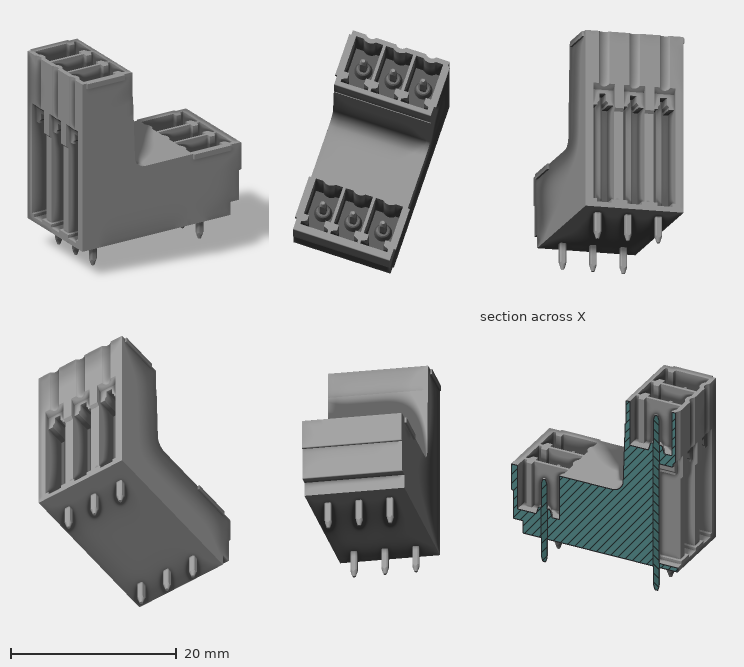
import cadquery as cq
import math


POLES = 3
PITCH = 3.81
ROW_SPACING = 15.24
POLE_XS = [(i - (POLES - 1) / 2) * PITCH for i in range(POLES)]

WIDTH = 12.3
FRONT_Y = -2.96
LENGTH = 22.7
BACK_Y = FRONT_Y + LENGTH
TIER_RISE = 12.7
LOWER_TOP = 9.2
UPPER_TOP = LOWER_TOP + TIER_RISE
EDGE_BREAK = 0.12

TOWER_DEPTH = 7.14
LEDGE_Z = 18.66
LEDGE_DEPTH = 0.08
DRAFT_ANGLE = 2.0
TIER_FILLET = 1.45

BACK_LIP_BOTTOM = 5.6
BACK_LIP_STEP = 0.3
FOOT_TOP = 1.7
FOOT_STEP = 1.27

SIDE_RIB_THICKNESS = 0.26
SIDE_RIB_HEIGHT = 0.66
SIDE_RIB_FRONT = -2.38
SIDE_RIB_BACK = 2.95

RECEPTACLE_WIDTH = 3.44
RECEPTACLE_DEPTH = 6.0
RECEPTACLE_FRONT = -2.39
RECEPTACLE_BACK = 3.57
KEY_GAP = 2.12
KEY_FRONT = 2.22
KEY_BACK = 2.92
KEY_ROOT_BACK = 3.22
BULGE_WIDTH = 1.55
BULGE_HEIGHT = 0.32

COLLAR_BASE_RADIUS = 1.1
COLLAR_SHOULDER_RADIUS = 0.84
COLLAR_TOP_RADIUS = 0.68
COLLAR_SHOULDER_HEIGHT = 0.9
COLLAR_HEIGHT = COLLAR_SHOULDER_HEIGHT + COLLAR_SHOULDER_RADIUS - COLLAR_TOP_RADIUS

SLOT_WIDTH = 2.67
SLOT_FLOOR = 1.04
SLOT_CEILING = 15.41
SLOT_DEPTH = 3.4
SLOT_BACK_Y = FRONT_Y + SLOT_DEPTH
LINTEL_SETBACK = 0.65
LINTEL_BOTTOM = 12.87
NOTCH_WIDTH = 0.84
NOTCH_TOP = 14.29
NOTCH_MOUTH_WIDTH = 1.36
NOTCH_MOUTH_TOP = 13.17
CHANNEL_WIDTH = 1.84
CHANNEL_FLOOR = 0.63
RIB_SETBACK = 0.36
RIB_TOP = 12.47
GROOVE_WIDTH = 1.28
GROOVE_SINK = 0.32

PIN_WIDTH = 0.8
PIN_CHAMFER = 0.13
PIN_BOTTOM = -3.2
PIN_TOP_BELOW_TIER = 1.0
TIP_RADIUS = 0.2
TIP_TAPER = 1 / 3
PIN_CORNER_RADIUS = math.hypot(PIN_WIDTH / 2, PIN_WIDTH / 2 - PIN_CHAMFER)
TIP_LENGTH = (PIN_CORNER_RADIUS - TIP_RADIUS) / TIP_TAPER

TIERS = [(0, UPPER_TOP), (ROW_SPACING, LOWER_TOP)]


def box(x0, x1, y0, y1, z0, z1):
    """Box between two opposite corners."""
    return cq.Workplane("XY").box(x1 - x0, y1 - y0, z1 - z0, centered=False).translate((x0, y0, z0))


def side_prism(points, x0, x1):
    """Prism with a (Y, Z) outline running from x0 to x1."""
    return cq.Workplane("YZ").workplane(offset=x0).polyline(points).close().extrude(x1 - x0)


def chord_radius(width, height):
    """Radius of the arc with the given chord width and height."""
    return (width ** 2 / 4 + height ** 2) / (2 * height)


def make_shell():
    """Stepped body with its side profile extruded over the full width."""
    tower_y = FRONT_Y + TOWER_DEPTH
    ledge_y = tower_y + LEDGE_DEPTH
    tower_foot_y = ledge_y + (LEDGE_Z - LOWER_TOP) * math.tan(math.radians(DRAFT_ANGLE))
    lip_y = BACK_Y - BACK_LIP_STEP
    foot_y = lip_y - FOOT_STEP
    profile = [
        (FRONT_Y, 0),
        (foot_y, 0),
        (foot_y, FOOT_TOP),
        (lip_y, FOOT_TOP),
        (lip_y, BACK_LIP_BOTTOM),
        (BACK_Y, BACK_LIP_BOTTOM),
        (BACK_Y, LOWER_TOP),
        (tower_foot_y, LOWER_TOP),
        (ledge_y, LEDGE_Z),
        (tower_y, LEDGE_Z),
        (tower_y, UPPER_TOP),
        (FRONT_Y, UPPER_TOP),
    ]
    shell = side_prism(profile, -WIDTH / 2, WIDTH / 2)

    def cross_edge(y, z):
        return cq.selectors.NearestToPointSelector((0, y, z))

    shell = shell.edges(cross_edge(tower_foot_y, LOWER_TOP)).fillet(TIER_FILLET)
    rounded = [(tower_y, UPPER_TOP), (BACK_Y, LOWER_TOP), (BACK_Y, BACK_LIP_BOTTOM), (lip_y, FOOT_TOP)]
    for y, z in rounded:
        shell = shell.edges(cross_edge(y, z)).fillet(EDGE_BREAK)
    return shell


def make_side_ribs(row_y, top_z):
    """Thin rib across both sides of a tier, flush with its top face."""
    half = WIDTH / 2 + SIDE_RIB_THICKNESS
    return box(-half, half, row_y + SIDE_RIB_FRONT, row_y + SIDE_RIB_BACK, top_z - SIDE_RIB_HEIGHT, top_z)


def make_collar():
    """Tapered collar standing on Z = 0."""
    return (
        cq.Workplane("XZ")
        .polyline([
            (0, 0),
            (COLLAR_BASE_RADIUS, 0),
            (COLLAR_SHOULDER_RADIUS, COLLAR_SHOULDER_HEIGHT),
            (COLLAR_TOP_RADIUS, COLLAR_HEIGHT),
            (0, COLLAR_HEIGHT),
        ])
        .close()
        .revolve(360, (0, 0), (0, 1))
    )


def make_receptacle(x, row_y, top_z):
    """Keyed pocket to cut from a tier, with the collar left standing on its floor."""
    half = RECEPTACLE_WIDTH / 2
    half_key = KEY_GAP / 2
    half_bulge = BULGE_WIDTH / 2
    pocket = (
        cq.Workplane("XY")
        .moveTo(half_bulge, RECEPTACLE_FRONT)
        .lineTo(half, RECEPTACLE_FRONT)
        .lineTo(half, KEY_FRONT)
        .lineTo(half_key, KEY_FRONT)
        .lineTo(half_key, KEY_BACK)
        .lineTo(half, KEY_ROOT_BACK)
        .lineTo(half, RECEPTACLE_BACK)
        .lineTo(-half, RECEPTACLE_BACK)
        .lineTo(-half, KEY_ROOT_BACK)
        .lineTo(-half_key, KEY_BACK)
        .lineTo(-half_key, KEY_FRONT)
        .lineTo(-half, KEY_FRONT)
        .lineTo(-half, RECEPTACLE_FRONT)
        .lineTo(-half_bulge, RECEPTACLE_FRONT)
        .threePointArc((0, RECEPTACLE_FRONT + BULGE_HEIGHT), (half_bulge, RECEPTACLE_FRONT))
        .close()
        .extrude(RECEPTACLE_DEPTH)
    )
    return pocket.cut(make_collar()).translate((x, row_y, top_z - RECEPTACLE_DEPTH))


def make_front_slot(x):
    """Tall slot under a set-back lintel, with a notch for the pin and a floor channel."""
    half = SLOT_WIDTH / 2
    lintel_y = FRONT_Y + LINTEL_SETBACK
    slot_profile = [
        (FRONT_Y, SLOT_FLOOR),
        (SLOT_BACK_Y, SLOT_FLOOR),
        (SLOT_BACK_Y, LINTEL_BOTTOM),
        (lintel_y, LINTEL_BOTTOM),
        (lintel_y, SLOT_CEILING - LINTEL_SETBACK),
        (FRONT_Y, SLOT_CEILING),
    ]
    slot = side_prism(slot_profile, -half, half)
    mouth_half = NOTCH_MOUTH_WIDTH / 2
    notch_half = NOTCH_WIDTH / 2
    flare_top = NOTCH_MOUTH_TOP + mouth_half - notch_half
    notch = (
        cq.Workplane("XZ", origin=(0, FRONT_Y, 0))
        .polyline([
            (-mouth_half, SLOT_FLOOR),
            (mouth_half, SLOT_FLOOR),
            (mouth_half, NOTCH_MOUTH_TOP),
            (notch_half, flare_top),
            (notch_half, NOTCH_TOP),
            (-notch_half, NOTCH_TOP),
            (-notch_half, flare_top),
            (-mouth_half, NOTCH_MOUTH_TOP),
        ])
        .close()
        .extrude(-SLOT_DEPTH)
    )
    channel = box(-CHANNEL_WIDTH / 2, CHANNEL_WIDTH / 2, FRONT_Y, SLOT_BACK_Y, CHANNEL_FLOOR, SLOT_FLOOR)
    return slot.union(notch).union(channel).translate((x, 0, 0))


def make_rib_relief():
    """Shallow recess that sets the ribs between the front slots back from the front face."""
    back_y = FRONT_Y + RIB_SETBACK
    profile = [
        (FRONT_Y, SLOT_FLOOR),
        (back_y, SLOT_FLOOR),
        (back_y, RIB_TOP - RIB_SETBACK),
        (FRONT_Y, RIB_TOP),
    ]
    return side_prism(profile, POLE_XS[0], POLE_XS[-1])


def make_front_groove(x):
    """Round vertical groove in the front face, from the slot to the top."""
    radius = chord_radius(GROOVE_WIDTH, GROOVE_SINK)
    axis_y = FRONT_Y + GROOVE_SINK - radius
    bottom_z = SLOT_CEILING - LINTEL_SETBACK
    return cq.Workplane("XY", origin=(x, axis_y, bottom_z)).circle(radius).extrude(UPPER_TOP - bottom_z)


def make_pin(x, row_y, top_z):
    """Square pin with chamfered corners and a conical point at each end."""
    length = top_z - PIN_BOTTOM
    shank = cq.Workplane("XY").rect(PIN_WIDTH, PIN_WIDTH).extrude(length).edges("|Z").chamfer(PIN_CHAMFER)
    envelope = (
        cq.Workplane("XZ")
        .polyline([
            (0, 0),
            (TIP_RADIUS, 0),
            (PIN_CORNER_RADIUS, TIP_LENGTH),
            (PIN_CORNER_RADIUS, length - TIP_LENGTH),
            (TIP_RADIUS, length),
            (0, length),
        ])
        .close()
        .revolve(360, (0, 0), (0, 1))
    )
    return shank.intersect(envelope).translate((x, row_y, PIN_BOTTOM))


pins = []
for row_y, tier_top in TIERS:
    for pole_x in POLE_XS:
        pins.append(make_pin(pole_x, row_y, tier_top - PIN_TOP_BELOW_TIER))

housing = make_shell()
for row_y, tier_top in TIERS:
    housing = housing.union(make_side_ribs(row_y, tier_top))
    for pole_x in POLE_XS:
        housing = housing.cut(make_receptacle(pole_x, row_y, tier_top))
housing = housing.cut(make_rib_relief())
for pole_x in POLE_XS:
    housing = housing.cut(make_front_slot(pole_x)).cut(make_front_groove(pole_x))
for pin in pins:
    housing = housing.cut(pin)

result = cq.Compound.makeCompound([housing.solids().val(), *[pin.solids().val() for pin in pins]])